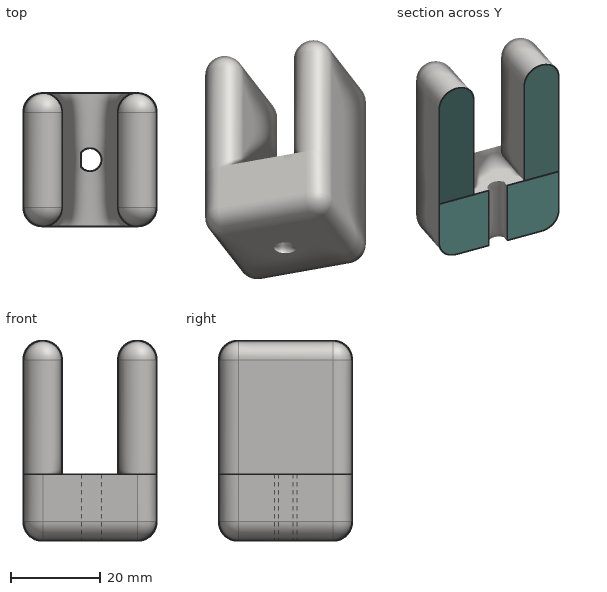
import cadquery as cq

width = 30.0
depth = 30.0
height = 45.0

base_height = 15.0
gap_width = 12.5
wall_thickness = (width - gap_width) / 2
wall_height = height - base_height
edge_radius = wall_thickness / 2

hole_diameter = 5.1
flat_offset = 2.0


def make_d_hole():
    """Cutter for the D-shaped hole, running through the full base height."""
    hole_radius = hole_diameter / 2
    bore = cq.Workplane("XY").circle(hole_radius).extrude(base_height)
    flat_side = (
        cq.Workplane("XY")
        .center(-flat_offset, 0)
        .rect(2 * hole_radius, hole_diameter)
        .extrude(base_height)
        .translate((-hole_radius, 0, 0))
    )
    return bore.cut(flat_side)


def make_base():
    """Block with rounded upright corners and rounded bottom edges."""
    block = cq.Workplane("XY").box(width, depth, base_height, centered=(True, True, False))
    rounded = block.edges("|Z").fillet(edge_radius).faces("<Z").edges().fillet(edge_radius)
    return rounded.cut(make_d_hole())


def make_wall(x_center):
    """Upright wall: round-ended slab topped by a half-round ridge with ball ends."""
    straight_height = wall_height - edge_radius
    straight_length = depth - wall_thickness
    slab = (
        cq.Workplane("XY")
        .slot2D(depth, wall_thickness, 90)
        .extrude(straight_height)
    )
    ridge = (
        cq.Workplane("XZ", origin=(0, straight_length / 2, straight_height))
        .circle(edge_radius)
        .extrude(straight_length)
    )
    wall = slab.union(ridge)
    for side in (-1, 1):
        end_ball = cq.Workplane("XY").sphere(edge_radius)
        wall = wall.union(end_ball.translate((0, side * straight_length / 2, straight_height)))
    return wall.translate((x_center, 0, base_height))


base = make_base()
wall_x = (width - wall_thickness) / 2
walls = [make_wall(side * wall_x) for side in (-1, 1)]

result = cq.Compound.makeCompound([base.solids().val(), *[wall.solids().val() for wall in walls]])